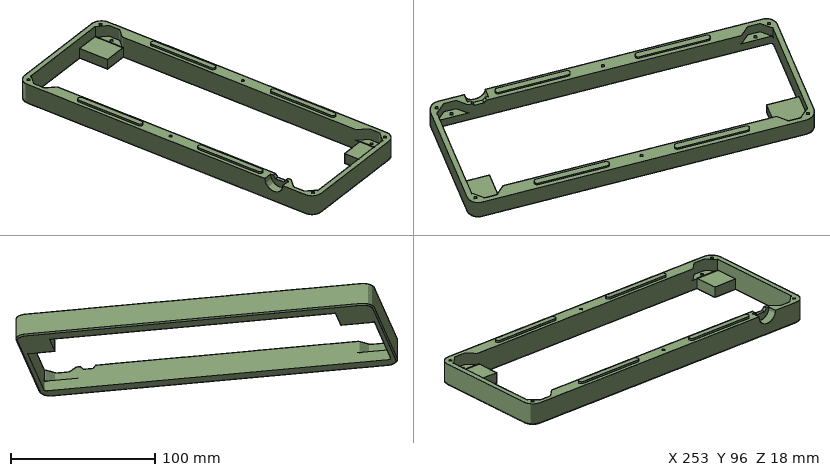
import cadquery as cq

length = 253.0
width = 96.0
body_height = 16.5
end_wall = 4.0
side_wall = 9.5
outer_radius = 8.0
inner_radius = 2.0
bottom_chamfer = 1.0

total_height = 18.0
ridge_length = 54.5
ridge_width = 4.0
ridge_x = 51.0
ridge_y = 43.2

hole_diameter = 2.07
hole_depth = 5.0
corner_hole_x = 121.1
rail_hole_y = 42.7
pocket_hole_y = 41.5

pocket_x = 110.8
pocket_depth = 8.9
pocket_reach = 6.3
pocket_half_mouth = 11.1
pocket_half_end = 4.5
pocket_corner_radius = 2.0

pad_height = 8.0
pad_front_y = 19.7
left_pad_edge_x = -98.6
right_pad_edge_x = 103.2

cable_x = 91.5
cable_radius = 7.5
cable_depth = 6.8
channel_half_top = 5.3
channel_half_bottom = 3.41
channel_depth = 2.3

inner_half_x = length / 2 - end_wall
inner_half_y = width / 2 - side_wall
pocket_floor_z = body_height - pocket_depth
signs = (-1, 1)


def make_frame():
    outer = (
        cq.Workplane("XY")
        .rect(length, width)
        .extrude(body_height)
        .edges("|Z")
        .fillet(outer_radius)
        .faces("<Z")
        .edges()
        .chamfer(bottom_chamfer)
    )
    opening = (
        cq.Workplane("XY")
        .rect(2 * inner_half_x, 2 * inner_half_y)
        .extrude(body_height)
        .edges("|Z")
        .fillet(inner_radius)
    )
    return outer.cut(opening)


def make_pad(edge_x, wall_x):
    """Block filling the rear corner between an end wall and edge_x, forward to pad_front_y."""
    return (
        cq.Workplane("XY")
        .center((edge_x + wall_x) / 2, (pad_front_y + inner_half_y) / 2)
        .rect(abs(wall_x - edge_x), inner_half_y - pad_front_y)
        .extrude(pad_height)
    )


def make_pocket():
    """Trapezoidal pocket in the rear right rail, with all its corners rounded."""
    end_y = inner_half_y + pocket_reach
    skirt_half = 2 * pocket_half_mouth
    skirt_y = inner_half_y - pocket_reach
    pocket = (
        cq.Workplane("XY", origin=(pocket_x, 0, pocket_floor_z))
        .moveTo(-skirt_half, skirt_y)
        .lineTo(-skirt_half, inner_half_y)
        .lineTo(-pocket_half_mouth, inner_half_y)
        .lineTo(-pocket_half_end, end_y)
        .lineTo(pocket_half_end, end_y)
        .lineTo(pocket_half_mouth, inner_half_y)
        .lineTo(skirt_half, inner_half_y)
        .lineTo(skirt_half, skirt_y)
        .close()
        .extrude(pocket_depth)
    )
    for half_x, y in [(pocket_half_mouth, inner_half_y), (pocket_half_end, end_y)]:
        for side in signs:
            middle = (pocket_x + side * half_x, y, pocket_floor_z + pocket_depth / 2)
            edge = cq.selectors.NearestToPointSelector(middle)
            pocket = pocket.edges(edge).fillet(pocket_corner_radius)
    limits = cq.Workplane("XY").box(2 * inner_half_x, width, 2 * body_height)
    return pocket.intersect(limits)


def make_holes(points, top_z):
    return (
        cq.Workplane("XY", origin=(0, 0, top_z - hole_depth))
        .pushPoints(points)
        .circle(hole_diameter / 2)
        .extrude(hole_depth)
    )


def make_ridges():
    points = [(sx * ridge_x, sy * ridge_y) for sx in signs for sy in signs]
    return (
        cq.Workplane("XY", origin=(0, 0, body_height))
        .pushPoints(points)
        .slot2D(ridge_length, ridge_width)
        .extrude(total_height - body_height)
    )


def make_cable_opening():
    """Half-round recess from the front face, then a shallow channel to the inside."""
    front = cq.Workplane("XZ", origin=(cable_x, -width / 2, body_height))
    recess = front.circle(cable_radius).extrude(-cable_depth)
    channel = (
        front.moveTo(-channel_half_top, 0)
        .lineTo(-channel_half_bottom, -channel_depth)
        .lineTo(channel_half_bottom, -channel_depth)
        .lineTo(channel_half_top, 0)
        .close()
        .extrude(-side_wall)
    )
    return recess.union(channel)


rail_holes = [(x, sy * rail_hole_y) for x in (-corner_hole_x, 0, corner_hole_x) for sy in signs]
pocket_holes = [(sx * pocket_x, sy * pocket_hole_y) for sx in signs for sy in signs]

right_pockets = make_pocket().union(make_pocket().mirror("XZ"))
result = make_frame().cut(right_pockets).cut(right_pockets.mirror("YZ"))
result = result.union(make_pad(left_pad_edge_x, -inner_half_x))
result = result.union(make_pad(right_pad_edge_x, inner_half_x))
result = result.cut(make_holes(rail_holes, body_height))
result = result.cut(make_holes(pocket_holes, pocket_floor_z))
result = result.cut(make_cable_opening())
result = result.union(make_ridges())